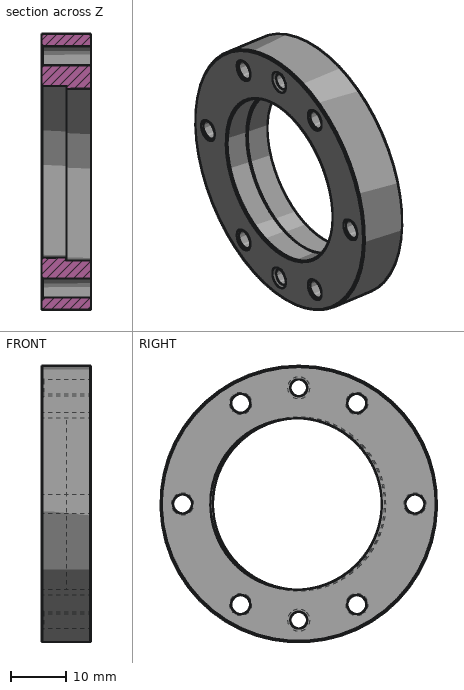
import cadquery as cq
import math

outer_diameter = 50.0
thickness = 9.0
edge_chamfer = 0.25

bore_diameter = 31.0
front_bore_depth = 4.5
rear_bore_shift = 0.5

bolt_circle_diameter = 42.0
countersink_diameter = 4.0
clearance_hole_diameter = 3.4
clearance_hole_count = 6
small_hole_diameter = 3.0
small_hole_angles = (90.0, 270.0)

front_x = -thickness / 2
rear_x = thickness / 2
axis_direction = cq.Vector(1, 0, 0)


def cylinder(diameter, start_x, length, y=0.0, z=0.0):
    """Cylinder along +X."""
    return cq.Workplane(cq.Solid.makeCylinder(diameter / 2, length, cq.Vector(start_x, y, z), axis_direction))


def front_countersink(small_diameter, large_diameter, y=0.0, z=0.0):
    """45 degree cone that narrows from the front face inward."""
    depth = (large_diameter - small_diameter) / 2
    base = cq.Vector(front_x, y, z)
    return cq.Workplane(
        cq.Solid.makeCone(large_diameter / 2, small_diameter / 2, depth, base, axis_direction)
    )


def make_disc():
    """Solid disc with both rims chamfered."""
    return cylinder(outer_diameter, front_x, thickness).edges("%CIRCLE").chamfer(edge_chamfer)


def cut_bore(body):
    """Stepped bore: a centred, chamfered front half and an eccentric rear half."""
    step_x = front_x + front_bore_depth
    front_bore = cylinder(bore_diameter, front_x, front_bore_depth)
    front_chamfer = front_countersink(bore_diameter, bore_diameter + 2 * edge_chamfer)
    rear_bore = cylinder(bore_diameter, step_x, rear_x - step_x, y=-rear_bore_shift)
    return body.cut(front_bore).cut(front_chamfer).cut(rear_bore)


def cut_bolt_hole(body, hole_diameter, angle):
    """Countersunk through hole on the bolt circle, at an angle from +Y toward +Z."""
    radius = bolt_circle_diameter / 2
    y = radius * math.cos(math.radians(angle))
    z = radius * math.sin(math.radians(angle))
    hole = cylinder(hole_diameter, front_x, thickness, y, z)
    countersink = front_countersink(hole_diameter, countersink_diameter, y, z)
    return body.cut(hole).cut(countersink)


ring = cut_bore(make_disc())

for index in range(clearance_hole_count):
    ring = cut_bolt_hole(ring, clearance_hole_diameter, index * 360.0 / clearance_hole_count)

for small_hole_angle in small_hole_angles:
    ring = cut_bolt_hole(ring, small_hole_diameter, small_hole_angle)

result = ring